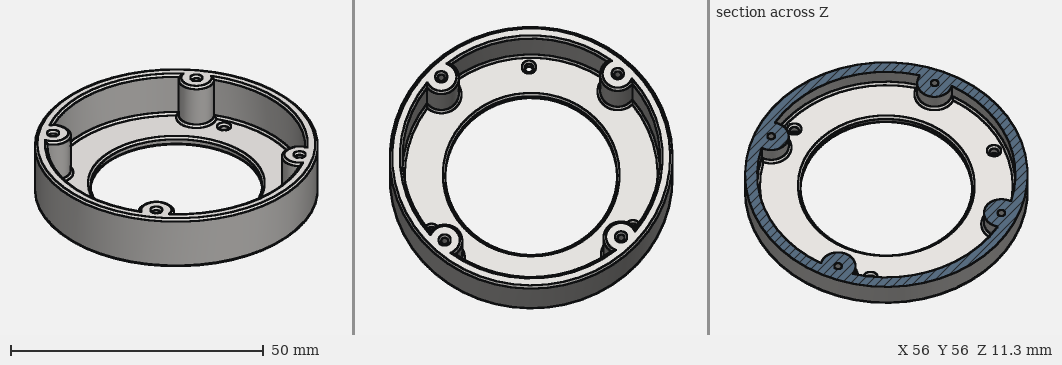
import cadquery as cq

outer_diameter = 56.0
height = 11.25
floor_thickness = 2.0
cavity_diameter = 51.0
bore_diameter = 34.0
edge_chamfer = 0.5

boss_count = 4
boss_first_angle = 15.0
boss_circle_radius = 24.7
boss_diameter = 7.0
boss_hole_diameter = 1.4

floor_hole_count = 3
floor_hole_first_angle = 90.0
floor_hole_circle_radius = 23.0
floor_hole_diameter = 1.8

cavity_depth = height - floor_thickness


def cone_step(diameter_bottom, diameter_top, z):
    """45-degree frustum, one edge chamfer tall, starting at height z."""
    return (
        cq.Workplane("XY", origin=(0, 0, z))
        .circle(diameter_bottom / 2)
        .workplane(offset=edge_chamfer)
        .circle(diameter_top / 2)
        .loft()
    )


def cylinder(diameter, z, length):
    return cq.Workplane("XY", origin=(0, 0, z)).circle(diameter / 2).extrude(length)


def chamfered_hole(diameter, z_top, depth):
    """Hole cutter going down from z_top, with a chamfered mouth."""
    mouth = cone_step(diameter, diameter + 2 * edge_chamfer, z_top - edge_chamfer)
    return cylinder(diameter, z_top - depth, depth).union(mouth)


def place_on_circle(body, count, radius, first_angle):
    """Equally spaced copies of a body around the Z axis."""
    copies = cq.Workplane("XY")
    for index in range(count):
        angle = first_angle + index * 360 / count
        copies = copies.add(body.translate((radius, 0, 0)).rotate((0, 0, 0), (0, 0, 1), angle))
    return copies.combine()


def cavity():
    """Space inside the wall: wider at the rim, narrower where it meets the floor."""
    base_z = floor_thickness + edge_chamfer
    straight = cylinder(cavity_diameter, base_z, cavity_depth - 2 * edge_chamfer)
    base = cone_step(cavity_diameter - 2 * edge_chamfer, cavity_diameter, floor_thickness)
    rim = cone_step(cavity_diameter, cavity_diameter + 2 * edge_chamfer, height - edge_chamfer)
    return straight.union(base).union(rim)


def boss():
    """Post with a chamfered top and a flared foot."""
    foot = cone_step(boss_diameter + 2 * edge_chamfer, boss_diameter, floor_thickness)
    post = cylinder(boss_diameter, floor_thickness, cavity_depth)
    return post.faces(">Z").chamfer(edge_chamfer).union(foot)


bosses = place_on_circle(boss(), boss_count, boss_circle_radius, boss_first_angle)

result = cylinder(outer_diameter, 0, height).edges().chamfer(edge_chamfer)
result = result.cut(cavity().cut(bosses))

bore_mouth_diameter = bore_diameter + 2 * edge_chamfer
bore = chamfered_hole(bore_diameter, floor_thickness, floor_thickness)
result = result.cut(bore).cut(cone_step(bore_mouth_diameter, bore_diameter, 0))

boss_hole = chamfered_hole(boss_hole_diameter, height, cavity_depth)
result = result.cut(place_on_circle(boss_hole, boss_count, boss_circle_radius, boss_first_angle))

floor_hole = chamfered_hole(floor_hole_diameter, floor_thickness, floor_thickness)
result = result.cut(
    place_on_circle(floor_hole, floor_hole_count, floor_hole_circle_radius, floor_hole_first_angle)
)